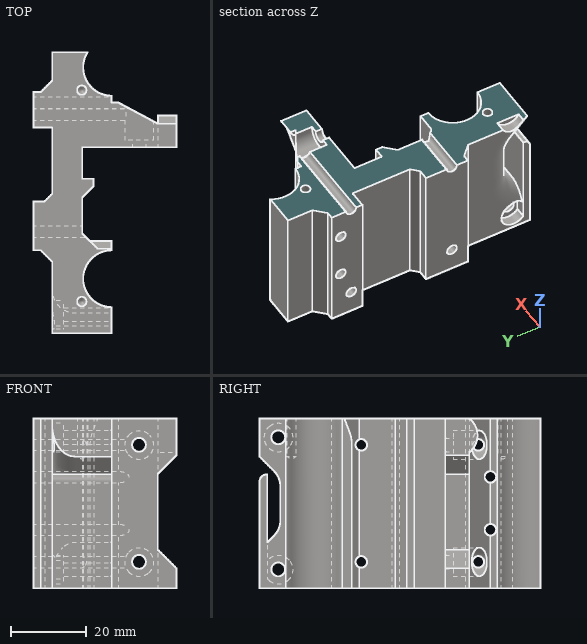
import cadquery as cq
import math

HEIGHT = 45.0
LENGTH = 74.5
CUT_MARGIN = 1.0

BACK_X = 5.0
WEB_X = 13.0
RIDGE_X = 16.0
ROD_X = 20.75
ARM_SLOPE_X = 22.5
ARM_TIP_X = 33.0
ARM_END_X = 38.0

ROD_RADIUS = 7.5
ROD_YS = (14.5, 70.5)
ROD_BEND_X = ROD_X - math.sqrt(ROD_RADIUS**2 - (LENGTH - ROD_YS[1]) ** 2)
PAD_CHAMFER = 3.0
PAD_STEP = 2.0
LOWER_PAD = (22.0, 35.0)
UPPER_PAD = (54.5, 64.0)
SEAT_SIDE_Y = 22.5
SEAT_CHAMFER = 4.0
RIDGE = (39.0, 41.0)
ARM_BASE_Y = 49.3
ARM_TIP_Y = 55.6
ARM_STEP_Y = 61.2

NOTCH_DEPTH = ARM_END_X - ARM_TIP_X
NOTCH_Z = (10.25, 30.25)
BUMP_PEAK_Y = 57.8
BUMP_PEAK_Z = 40.5
ARM_HOLE_X = 28.0
ARM_HEAD_WALL = 2.0

SCREW_ZS = (7.0, 38.0)
SCREW_YS = (27.0, 58.0)
SIDE_SCREW_Y = 61.2
SIDE_SCREW_ZS = (15.5, 29.5)
SCREW_DIAMETER = 3.0
BOLT_Y = 5.0
BOLT_ZS = (5.0, 40.0)
BOLT_DIAMETER = 3.6
BOLT_HEAD_DIAMETER = 7.6
BOLT_HEAD_DEPTH = 3.0

PIN_X = 12.85
PIN_OFFSET = 6.05
PIN_DIAMETER = 2.5
PIN_DEPTH = 10.0
PIN_TIP_ANGLE = 118.0

WINDOW_DEPTH = 5.5
WINDOW_MOUTH = 24.8
WINDOW_BEND = 5.5
WINDOW_FLARE = 6.0
LIP_THICKNESS = 2.1
LIP_HEIGHT = 30.2
LIP_ROUND = 2.0

BULGE_Y = 24.5
BULGE_SLOPE_Y = 23.9
BULGE_SLOPE = 69.0


def body():
    """Constant cross-section, traced from the -Y end up the front and back down the rear."""
    outline = (
        cq.Workplane("XY")
        .moveTo(BACK_X, 0)
        .lineTo(ROD_X, 0)
        .lineTo(ROD_X, ROD_YS[0] - ROD_RADIUS)
        .threePointArc((ROD_X - ROD_RADIUS, ROD_YS[0]), (ROD_X, ROD_YS[0] + ROD_RADIUS))
        .lineTo(ROD_X, SEAT_SIDE_Y)
        .lineTo(WEB_X + SEAT_CHAMFER, SEAT_SIDE_Y)
        .lineTo(WEB_X, SEAT_SIDE_Y + SEAT_CHAMFER)
        .lineTo(WEB_X, RIDGE[0] - (RIDGE_X - WEB_X))
        .lineTo(RIDGE_X, RIDGE[0])
        .lineTo(RIDGE_X, RIDGE[1])
        .lineTo(WEB_X, RIDGE[1])
        .lineTo(WEB_X, ARM_BASE_Y)
        .lineTo(ARM_END_X, ARM_BASE_Y)
        .lineTo(ARM_END_X, ARM_TIP_Y)
        .lineTo(ARM_TIP_X, ARM_TIP_Y)
        .lineTo(ARM_SLOPE_X, ARM_STEP_Y)
        .lineTo(ROD_X, ARM_STEP_Y)
        .lineTo(ROD_X, ROD_YS[1] - ROD_RADIUS)
        .threePointArc((ROD_X - ROD_RADIUS, ROD_YS[1]), (ROD_BEND_X, LENGTH))
        .lineTo(BACK_X, LENGTH)
        .lineTo(BACK_X, UPPER_PAD[1] + PAD_CHAMFER)
        .lineTo(BACK_X - PAD_CHAMFER, UPPER_PAD[1])
        .lineTo(0, UPPER_PAD[1])
        .lineTo(0, UPPER_PAD[0])
        .lineTo(BACK_X, UPPER_PAD[0])
        .lineTo(BACK_X, LOWER_PAD[1] + PAD_STEP)
        .lineTo(BACK_X - PAD_STEP, LOWER_PAD[1])
        .lineTo(0, LOWER_PAD[1])
        .lineTo(0, LOWER_PAD[0])
        .lineTo(BACK_X - PAD_CHAMFER, LOWER_PAD[0])
        .lineTo(BACK_X, LOWER_PAD[0] - PAD_CHAMFER)
        .close()
    )
    return outline.extrude(HEIGHT)


def arm_notch():
    """Flared notch in the end of the arm."""
    low, high = NOTCH_Z
    reach = NOTCH_DEPTH + CUT_MARGIN
    points = [
        (ARM_TIP_X, low),
        (ARM_TIP_X + reach, low - reach),
        (ARM_TIP_X + reach, high + reach),
        (ARM_TIP_X, high),
    ]
    return cq.Workplane("XZ").polyline(points).close().extrude(-LENGTH)


def arm_bump():
    """Rounded swelling on the +Y side of the upper arm tip."""
    half_height = HEIGHT - BUMP_PEAK_Z
    profile = (
        cq.Workplane("YZ", origin=(ARM_TIP_X, 0, 0))
        .moveTo(ARM_TIP_Y, BUMP_PEAK_Z - half_height)
        .threePointArc((BUMP_PEAK_Y, BUMP_PEAK_Z), (ARM_TIP_Y, HEIGHT))
        .close()
    )
    return profile.extrude(ARM_END_X - ARM_TIP_X)


def seat_bulge():
    """Bulge with a steep sloped top on the web side of the lower rod seat."""
    slope = math.radians(BULGE_SLOPE)
    slope_end_z = HEIGHT - (BULGE_SLOPE_Y - SEAT_SIDE_Y) * math.tan(slope)
    radius = (BULGE_Y - BULGE_SLOPE_Y) / (1 - math.sin(slope))
    center_y = BULGE_Y - radius
    center_z = slope_end_z - radius * math.cos(slope)
    middle = (math.pi / 2 - slope) / 2
    round_middle = (center_y + radius * math.cos(middle), center_z + radius * math.sin(middle))
    profile = (
        cq.Workplane("YZ", origin=(WEB_X, 0, 0))
        .moveTo(SEAT_SIDE_Y, 0)
        .lineTo(SEAT_SIDE_Y, HEIGHT)
        .lineTo(BULGE_SLOPE_Y, slope_end_z)
        .threePointArc(round_middle, (BULGE_Y, center_z))
        .lineTo(BULGE_Y, 0)
        .close()
    )
    return profile.extrude(ROD_X - WEB_X)


def holes_along_x(start_x, end_x, diameter, spots):
    """Cylinders along X at (Y, Z) spots."""
    plane = cq.Workplane("YZ", origin=(start_x, 0, 0))
    return plane.pushPoints(spots).circle(diameter / 2).extrude(end_x - start_x)


def holes_along_y(start_y, end_y, diameter, spots):
    """Cylinders along Y at (X, Z) spots."""
    plane = cq.Workplane("XZ", origin=(0, start_y, 0))
    return plane.pushPoints(spots).circle(diameter / 2).extrude(start_y - end_y)


def pin_hole(y):
    """Blind hole with a drill point, sunk from the top face."""
    radius = PIN_DIAMETER / 2
    tip = radius / math.tan(math.radians(PIN_TIP_ANGLE / 2))
    profile = [(0, 0), (radius, 0), (radius, -PIN_DEPTH), (0, -PIN_DEPTH - tip)]
    plane = cq.Workplane("XZ", origin=(PIN_X, y, HEIGHT))
    return plane.polyline(profile).close().revolve(360, (0, 0), (0, 1))


def cut_window(part):
    """Trapezoid opening through the -Y edge, rounded over where it meets the back face."""
    middle = HEIGHT / 2
    mouth = WINDOW_MOUTH / 2
    points = [
        (-CUT_MARGIN, middle - mouth - CUT_MARGIN),
        (WINDOW_DEPTH, middle - mouth + WINDOW_DEPTH),
        (WINDOW_DEPTH, middle + mouth - WINDOW_DEPTH),
        (-CUT_MARGIN, middle + mouth + CUT_MARGIN),
    ]
    opening = cq.Workplane("YZ").polyline(points).close().extrude(ROD_X + CUT_MARGIN)
    opening = opening.edges("|X and >Y").fillet(WINDOW_BEND)
    rim = cq.selectors.BoxSelector(
        (BACK_X - CUT_MARGIN, CUT_MARGIN, CUT_MARGIN),
        (BACK_X + CUT_MARGIN, WINDOW_DEPTH + CUT_MARGIN, HEIGHT - CUT_MARGIN),
    )
    return part.cut(opening).edges(rim).fillet(WINDOW_FLARE)


def lip():
    """Thin wall across the front of the window with a rounded upper edge."""
    wall = cq.Workplane("XY").box(ROD_X - BACK_X, LIP_THICKNESS, LIP_HEIGHT, centered=False)
    return wall.edges("|X and >Z and <Y").fillet(LIP_ROUND).translate((BACK_X, 0, 0))


result = body().union(seat_bulge()).cut(arm_notch()).union(arm_bump())
result = cut_window(result)

bolt_spots = [(BOLT_Y, z) for z in BOLT_ZS]
result = result.cut(holes_along_x(0, ROD_X, BOLT_DIAMETER, bolt_spots))
result = result.cut(holes_along_x(0, BACK_X + BOLT_HEAD_DEPTH, BOLT_HEAD_DIAMETER, bolt_spots))
result = result.union(lip())

screw_spots = [(y, z) for y in SCREW_YS for z in SCREW_ZS]
side_spots = [(SIDE_SCREW_Y, z) for z in SIDE_SCREW_ZS]
result = result.cut(holes_along_x(0, ARM_TIP_X, SCREW_DIAMETER, screw_spots + side_spots))

arm_spots = [(ARM_HOLE_X, z) for z in SCREW_ZS]
result = result.cut(holes_along_y(ARM_BASE_Y, LENGTH, BOLT_DIAMETER, arm_spots))
result = result.cut(holes_along_y(ARM_BASE_Y + ARM_HEAD_WALL, LENGTH, BOLT_HEAD_DIAMETER, arm_spots))

for rod_y in ROD_YS:
    result = result.cut(pin_hole(rod_y - PIN_OFFSET))